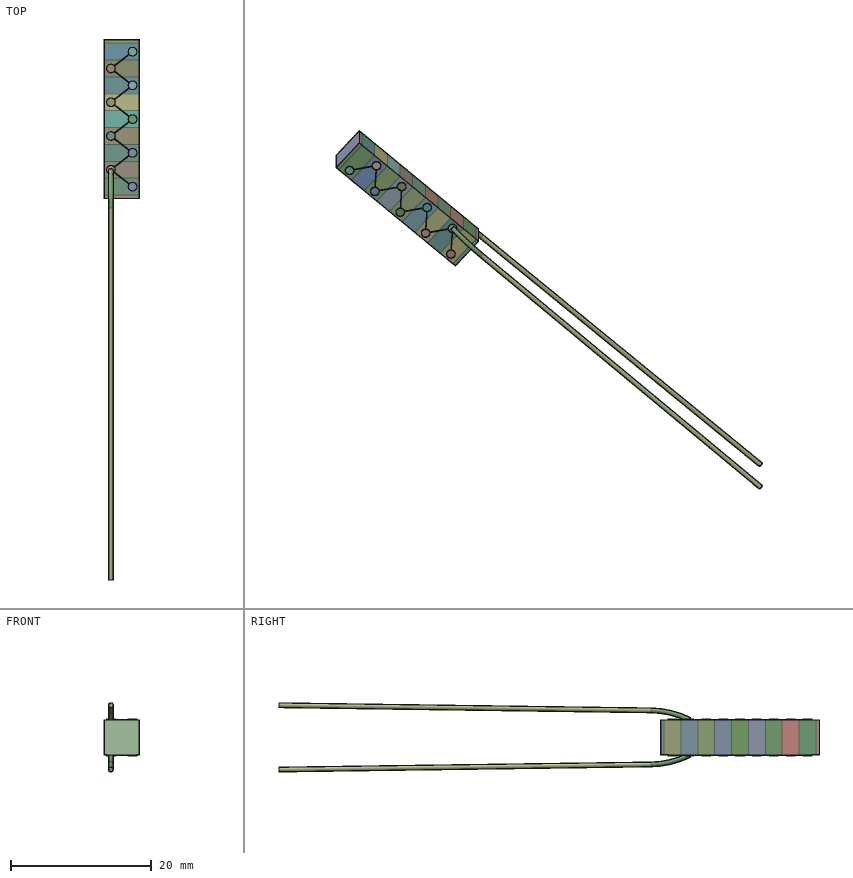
import cadquery as cq
import math

overall_length = 76.9
overall_height = 9.85
stack_width = 5.0
stack_length = 22.6
layer_count = 9
cover_thickness = 0.5

dot_offset = 1.5
dot_radius = 0.6
dot_height = 0.15
strip_width = 0.1
strip_height = 0.1

lead_layer = 7
wire_radius = 0.345
bend_length = 5.45
bend_end_height = 3.85

stack_top = stack_width / 2
rear_y = overall_length / 2
tip_y = -overall_length / 2
tip_z = overall_height / 2 - wire_radius
layer_pitch = (stack_length - 2 * cover_thickness) / layer_count
first_layer_y = rear_y - cover_thickness - layer_pitch / 2


def dot_center(layer):
    """X and Y of the solder dot on a layer; dots sit right and left in turn."""
    side = 1 if layer % 2 == 0 else -1
    return side * dot_offset, first_layer_y - layer * layer_pitch


def make_stack():
    """Cover plate, layers, cover plate; the flush joints between them stay as edges."""
    thicknesses = [cover_thickness] + [layer_pitch] * layer_count + [cover_thickness]
    stack = cq.Workplane("XY")
    slab_rear = rear_y
    for thickness in thicknesses:
        slab = cq.Workplane("XY").box(stack_width, thickness, stack_width)
        slab = slab.translate((0, slab_rear - thickness / 2, 0))
        stack = stack.union(slab, clean=False)
        slab_rear -= thickness
    return stack


def make_dot(center):
    """Flat round dot standing on the top face of the stack."""
    return cq.Workplane("XY", origin=(*center, stack_top)).circle(dot_radius).extrude(dot_height)


def make_strip(start, end):
    """Thin straight strip on the top face from one dot center to the next."""
    dx = end[0] - start[0]
    dy = end[1] - start[1]
    middle = ((start[0] + end[0]) / 2, (start[1] + end[1]) / 2, stack_top)
    length = math.hypot(dx, dy)
    strip = cq.Workplane("XY").rect(length, strip_width).extrude(strip_height)
    return strip.rotate((0, 0, 0), (0, 0, 1), math.degrees(math.atan2(dy, dx))).translate(middle)


def make_lead():
    """Round wire from the tip to its dot, trimmed flush with the top face of the stack."""
    lead_x, start_y = dot_center(lead_layer)
    bend_y = start_y - bend_length
    path = (
        cq.Workplane("YZ", origin=(lead_x, 0, 0))
        .moveTo(tip_y, tip_z)
        .lineTo(bend_y, bend_end_height)
        .tangentArcPoint((start_y, stack_top), relative=False)
    )
    wire = cq.Workplane("XZ", origin=(lead_x, tip_y, tip_z)).circle(wire_radius).sweep(path)
    stack_block = cq.Workplane("XY").box(stack_width, overall_length, stack_width)
    return wire.cut(stack_block)


def make_electrode():
    """Dots, zigzag strips and lead of the +Z side as one solid."""
    centers = [dot_center(layer) for layer in range(layer_count)]
    electrode = make_lead()
    for center in centers:
        electrode = electrode.union(make_dot(center))
    for start, end in zip(centers, centers[1:]):
        electrode = electrode.union(make_strip(start, end))
    return electrode


stack = make_stack()
top_electrode = make_electrode()
bottom_electrode = top_electrode.mirror("XY")

result = cq.Compound.makeCompound([stack.val(), top_electrode.val(), bottom_electrode.val()])